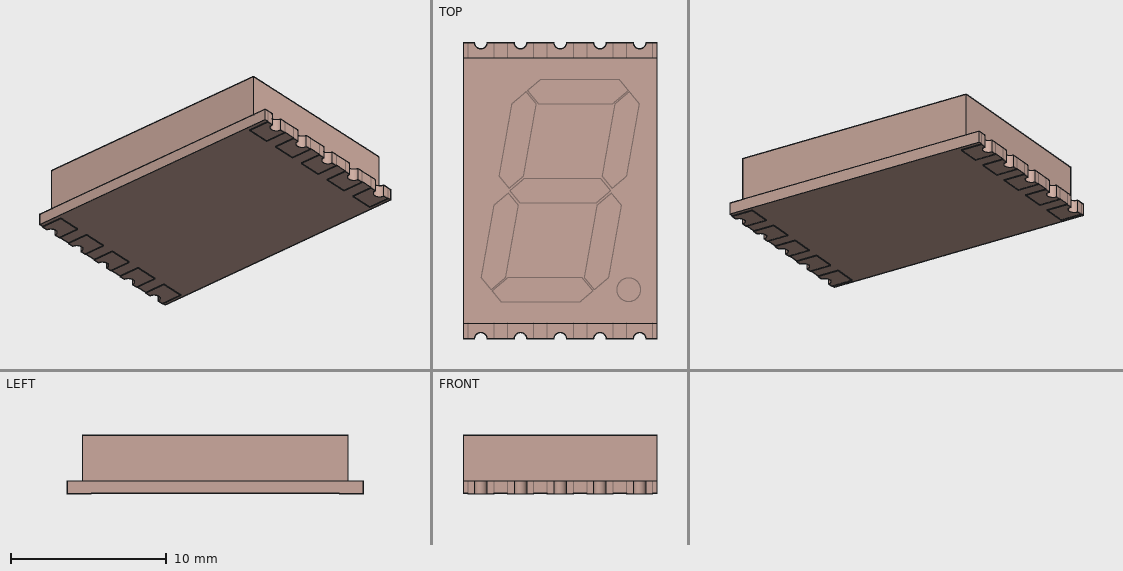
import cadquery as cq
import math

width = 12.4
length = 19.0
height = 3.78

board_thickness = 0.8
pad_drop = 0.05
pad_count = 5
pad_pitch = 2.55
pad_width = 1.67
pad_length = 1.54
notch_radius = 0.4

ledge = 0.99
housing_length = length - 2 * ledge
board_top = pad_drop + board_thickness
housing_height = height - board_top

slant_angle = 10.0
slant = math.tan(math.radians(slant_angle))
stroke = 1.55
half_stroke = stroke / 2
column_x = 3.3
middle_gap = 0.15
row_y = 6.35
tip_gap = 0.08
end_shift = 0.08
inlay_depth = 0.19

dot_x = 4.39
dot_y = -6.35
dot_radius = 0.76


def slanted(points):
    """Lean upright digit points to the right."""
    return [(x + y * slant, y) for x, y in points]


def row_segment(center_y, tip_offset):
    """Outline of a horizontal segment; tip_offset moves its tips off the centre line."""
    tip_x = column_x - tip_gap
    upper_x = tip_x - (half_stroke - tip_offset)
    lower_x = tip_x - (half_stroke + tip_offset)
    return [
        (-upper_x, center_y + half_stroke),
        (upper_x, center_y + half_stroke),
        (tip_x, center_y + tip_offset),
        (lower_x, center_y - half_stroke),
        (-lower_x, center_y - half_stroke),
        (-tip_x, center_y + tip_offset),
    ]


def column_segment(center_x, side):
    """Outline of an upright segment; side is +1 above the middle row and -1 below it."""
    inner_tip = middle_gap
    outer_tip = row_y
    inner_shoulder = inner_tip + half_stroke
    outer_shoulder = outer_tip - half_stroke
    return [
        (center_x, side * inner_tip),
        (center_x + half_stroke, side * inner_shoulder),
        (center_x + half_stroke, side * outer_shoulder),
        (center_x, side * outer_tip),
        (center_x - half_stroke, side * outer_shoulder),
        (center_x - half_stroke, side * inner_shoulder),
    ]


def make_inlays():
    """The seven segments and the decimal point, flush with the top of the housing."""
    outlines = [
        row_segment(row_y, end_shift),
        row_segment(0, 0),
        row_segment(-row_y, -end_shift),
    ]
    for center_x in (-column_x, column_x):
        for side in (-1, 1):
            outlines.append(column_segment(center_x, side))

    floor = cq.Workplane("XY", origin=(0, 0, height - inlay_depth))
    inlays = floor.center(dot_x, dot_y).circle(dot_radius).extrude(inlay_depth)
    for outline in outlines:
        inlays = inlays.add(floor.polyline(slanted(outline)).close().extrude(inlay_depth))
    return inlays.combine()


def make_housing():
    """Plain block; the inlays are fused in unmerged so that their outlines stay on its top face."""
    block = (
        cq.Workplane("XY", origin=(0, 0, board_top))
        .box(width, housing_length, housing_height, centered=(True, True, False))
    )
    inlays = make_inlays()
    return block.cut(inlays).union(inlays, clean=False)


def make_board():
    """Flat board with pads through both short edges, each pad notched at its outer edge."""
    board = (
        cq.Workplane("XY", origin=(0, 0, pad_drop))
        .box(width, length, board_thickness, centered=(True, True, False))
    )
    pad_xs = [(i - (pad_count - 1) / 2) * pad_pitch for i in range(pad_count)]
    pad_y = (length - pad_length) / 2
    pad_centers = [(x, side * pad_y) for side in (-1, 1) for x in pad_xs]
    notch_centers = [(x, side * length / 2) for side in (-1, 1) for x in pad_xs]

    pads = cq.Workplane("XY").pushPoints(pad_centers).rect(pad_width, pad_length).extrude(board_top)
    notches = cq.Workplane("XY").pushPoints(notch_centers).circle(notch_radius).extrude(board_top)
    return board.union(pads, clean=False).cut(notches, clean=False)


housing = make_housing()
board = make_board()

result = cq.Compound.makeCompound([housing.solids().val(), board.solids().val()])